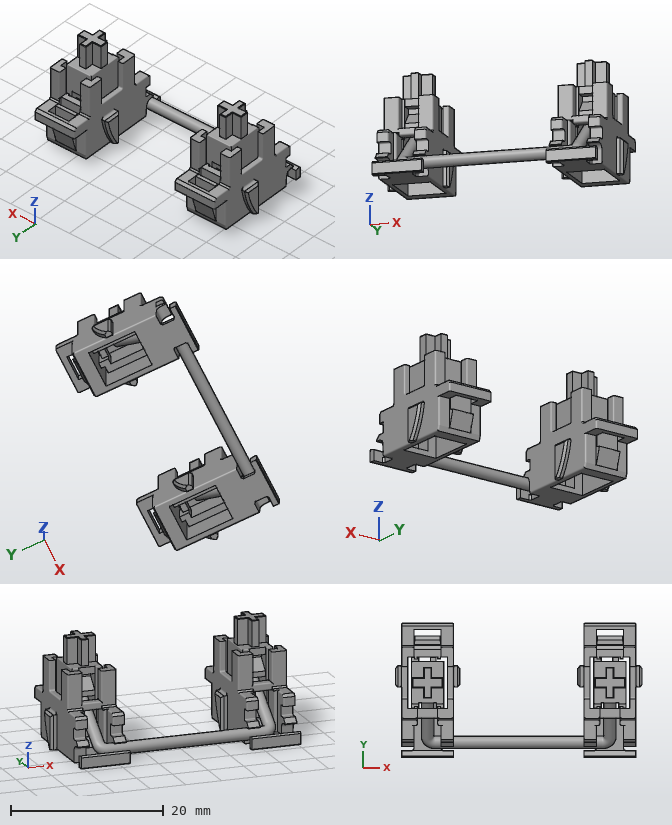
import cadquery as cq
import math


OVERALL_LENGTH = 32.3
WING_SPAN = 8.43
STEM_PITCH = OVERALL_LENGTH - WING_SPAN
STEM_CENTRES = (-STEM_PITCH / 2, STEM_PITCH / 2)

BODY_WIDTH = 6.8
HALF_BODY = BODY_WIDTH / 2
EDGE_FILLET = 0.23
NECK_CHAMFER = 0.23
TOWER_TOP = 11.45
TOWER_HALF_DEPTH = 4.65
FLANGE_TOP = 6.45
FLANGE_BOTTOM = 4.8
FLANGE_TIP = 7.82
TIP_CHAMFER = 0.4
BODY_BACK = 5.45
BODY_FRONT = -6.85
HOOK_TOP = 3.25
HOOK_SLOPE_START = -7.75
HOOK_TIP = -8.35
HOOK_TIP_HEIGHT = 2.62
RECESS_FILLET = 0.15

WIRE_DIAMETER = 1.65
WIRE_RADIUS = WIRE_DIAMETER / 2
WIRE_Y = -7.82
WIRE_Z = 1.65
WIRE_TILT = 36.0
BEND_RADIUS = 1.0
WIRE_ARM = 10.35
WIRE_CLEARANCE = 0.03
WIRE_SEAT_RADIUS = WIRE_RADIUS + WIRE_CLEARANCE
ARM_COS = math.cos(math.radians(WIRE_TILT))
ARM_SIN = math.sin(math.radians(WIRE_TILT))
WIRE_PLANE = cq.Plane(
    origin=(0, WIRE_Y, WIRE_Z), xDir=(1, 0, 0), normal=(0, -ARM_SIN, ARM_COS)
)

CAVITY_HALF_WIDTH = 2.6
CAVITY_HALF_DEPTH = 3.35
SLOT_FLOOR = 7.25
SLOT_FILLET = 0.2
FRONT_SLOT_HALF = 1.32
SIDE_SLOT_HALF = 2.13
BACK_SLOT_HALF = 1.75
SIDE_SLOT_CORNER = 0.25
FLOOR_THICKNESS = 0.75
MOUTH_HALF = 1.75
MOUTH_BACK = -5.6
CROSSBAR_BOTTOM = 6.2

PLATE_BACK = -8.88
PLATE_FRONT = -9.8
PLATE_TOP = 1.78
PLATE_EDGE = 0.23
TONGUE_HALF = 1.78
TONGUE_FLARE = 0.23

LATCH_HALF = 1.68
LATCH_TOP = 6.55
LATCH_INNER_TOP = 5.0
LATCH_INNER_BASE = 4.85
LATCH_OUTER = 5.6
LATCH_BARB = 6.15
BARB_HEIGHT = 3.15
BARB_SLOPE = 0.13
BARB_BASE = 5.23
FLEX_GAP_FRONT = 4.33
FLEX_FILLET = 0.5
WINDOW_BACK = 6.95

WING_BACK = 2.23
WING_FRONT = -0.58
WING_TOP = 4.8
WING_CHAMFER = 0.32
WING_FILLET = 0.3
WING_MIDDLE = (1.52, 2.25)
WING_FOOT = 0.35

BUMP_CENTRE = 1.52
BUMP_WIDTH = 0.4
BUMP_REACH = 0.23

STEM_TOP = 11.55
STEM_BOTTOM = 3.25
STEM_HALF_WIDTH = 2.13
STEM_HALF_DEPTH = 2.8
STEM_FILLET = 0.13
LEG_TOP = 6.05
LEG_REACH = 3.33
GAP_HALF = 1.13
GAP_CEILING = 7.55
FACE_RECESS = 0.15
POCKET_TOP = 10.55
POCKET_SLOPE_TOP = 9.82
POCKET_SLOPE_BOTTOM = 8.3
POCKET_DEPTH = POCKET_SLOPE_TOP - POCKET_SLOPE_BOTTOM
FOOT_FRONT = 1.95
FOOT_TOP = 6.05
FOOT_BOTTOM = 4.4
RIB_INNER = 0.35
CROSS_TOP = 15.2
CROSS_SPAN = 4.0
CROSS_RIB_X = 1.03
CROSS_RIB_Y = 1.32
CROSS_CHAMFER = 0.1

CUT_MARGIN = 0.32
NEAR = 0.03


def block(x_range, y_range, z_range):
    """Box given by its limits along each axis."""
    size = [high - low for low, high in (x_range, y_range, z_range)]
    corner = (x_range[0], y_range[0], z_range[0])
    return cq.Workplane("XY").box(*size, centered=False).translate(corner)


def extrude_across(profile, half_width):
    """Extrude a closed y-z profile symmetrically to both sides of x = 0."""
    return profile.extrude(half_width, both=True)


def edges_inside(x_range, y_range, z_range):
    """Selector for the edges whose centres lie between the given limits."""
    low, high = zip(x_range, y_range, z_range)
    return cq.selectors.BoxSelector(low, high)


def side_outline():
    """Side profile of the housing, with the hook that snaps over the wire."""
    shoulder = TOWER_HALF_DEPTH + NECK_CHAMFER
    neck = FLANGE_TOP + NECK_CHAMFER
    seat_top = WIRE_Z + WIRE_SEAT_RADIUS
    seat_mid = WIRE_SEAT_RADIUS * math.sqrt(0.5)
    return (
        cq.Workplane("YZ")
        .moveTo(-TOWER_HALF_DEPTH, TOWER_TOP)
        .lineTo(TOWER_HALF_DEPTH, TOWER_TOP)
        .lineTo(TOWER_HALF_DEPTH, neck)
        .lineTo(shoulder, FLANGE_TOP)
        .lineTo(FLANGE_TIP - TIP_CHAMFER, FLANGE_TOP)
        .lineTo(FLANGE_TIP, FLANGE_TOP - TIP_CHAMFER)
        .lineTo(FLANGE_TIP, FLANGE_BOTTOM)
        .lineTo(BODY_BACK, FLANGE_BOTTOM)
        .lineTo(BODY_BACK, FLOOR_THICKNESS)
        .lineTo(BARB_BASE, 0)
        .lineTo(BODY_FRONT, 0)
        .lineTo(WIRE_Y + WIRE_SEAT_RADIUS, WIRE_Z)
        .threePointArc((WIRE_Y + seat_mid, WIRE_Z + seat_mid), (WIRE_Y, seat_top))
        .lineTo(HOOK_TIP, seat_top)
        .lineTo(HOOK_TIP, HOOK_TIP_HEIGHT)
        .lineTo(HOOK_SLOPE_START, HOOK_TOP)
        .lineTo(BODY_FRONT, HOOK_TOP)
        .lineTo(BODY_FRONT, FLANGE_BOTTOM)
        .lineTo(-FLANGE_TIP, FLANGE_BOTTOM)
        .lineTo(-FLANGE_TIP, FLANGE_TOP - TIP_CHAMFER)
        .lineTo(-FLANGE_TIP + TIP_CHAMFER, FLANGE_TOP)
        .lineTo(-shoulder, FLANGE_TOP)
        .lineTo(-TOWER_HALF_DEPTH, neck)
        .close()
    )


def housing_shell():
    """Outer body with rounded side edges along the tower, flange, back and base."""
    shell = extrude_across(side_outline(), HALF_BODY)
    below_tower_top = TOWER_TOP - EDGE_FILLET
    above_flange_bottom = FLANGE_BOTTOM + EDGE_FILLET
    below_flange_bottom = FLANGE_BOTTOM - EDGE_FILLET
    tower_and_flange = ((-FLANGE_TIP - NEAR, FLANGE_TIP + NEAR), (above_flange_bottom, below_tower_top))
    base_and_back = ((-CAVITY_HALF_DEPTH, FLANGE_TIP), (-NEAR, below_flange_bottom))
    recess_y = (BODY_FRONT - NEAR, BODY_FRONT + NEAR)
    recess_corners = edges_inside((-NEAR, NEAR), recess_y, (HOOK_TOP - NEAR, FLANGE_BOTTOM + NEAR))
    shell = shell.edges(recess_corners).fillet(RECESS_FILLET)
    for side in (-1, 1):
        x_range = sorted((side * (HALF_BODY - NEAR), side * (HALF_BODY + NEAR)))
        for y_range, z_range in (tower_and_flange, base_and_back):
            shell = shell.edges(edges_inside(x_range, y_range, z_range)).fillet(EDGE_FILLET)
    return shell


def cut_stem_cavity(housing):
    """Open the rectangular well for the stem from top to bottom."""
    across = (-CAVITY_HALF_WIDTH, CAVITY_HALF_WIDTH)
    along = (-CAVITY_HALF_DEPTH, CAVITY_HALF_DEPTH)
    return housing.cut(block(across, along, (-CUT_MARGIN, TOWER_TOP + CUT_MARGIN)))


def cut_tower_slots(housing):
    """Cut the front, side and back slots into the tower and round their outer rims."""
    depth = (0, TOWER_HALF_DEPTH + CUT_MARGIN)
    height = (SLOT_FLOOR, TOWER_TOP + CUT_MARGIN)
    rim_height = (SLOT_FLOOR - NEAR, TOWER_TOP - NEAR)
    reach = HALF_BODY + CUT_MARGIN

    side_slot = (
        block((-reach, reach), (-SIDE_SLOT_HALF, SIDE_SLOT_HALF), height)
        .edges("|X and <Z")
        .fillet(SIDE_SLOT_CORNER)
    )
    housing = housing.cut(side_slot)
    for direction, half in ((-1, FRONT_SLOT_HALF), (1, BACK_SLOT_HALF)):
        y_range = sorted(direction * y for y in depth)
        housing = housing.cut(block((-half, half), y_range, height))

    for side in (-1, 1):
        x_range = (side * HALF_BODY - NEAR, side * HALF_BODY + NEAR)
        y_range = (-SIDE_SLOT_HALF - NEAR, SIDE_SLOT_HALF + NEAR)
        housing = housing.edges(edges_inside(x_range, y_range, rim_height)).fillet(SLOT_FILLET)
    for direction, half in ((-1, FRONT_SLOT_HALF), (1, BACK_SLOT_HALF)):
        face = direction * TOWER_HALF_DEPTH
        rim = edges_inside((-half - NEAR, half + NEAR), (face - NEAR, face + NEAR), rim_height)
        housing = housing.edges(rim).fillet(SLOT_FILLET)
    return housing


def cut_wire_channel(housing):
    """Open the front of the body for the wire arm, between the two hook arms."""
    above = FLANGE_TOP + CUT_MARGIN
    mouth = block((-MOUTH_HALF, MOUTH_HALF), (PLATE_FRONT, MOUTH_BACK), (FLOOR_THICKNESS, above))
    throat_width = (-FRONT_SLOT_HALF, FRONT_SLOT_HALF)
    throat = block(throat_width, (MOUTH_BACK, -TOWER_HALF_DEPTH), (FLOOR_THICKNESS, above))
    tunnel = block(throat_width, (-TOWER_HALF_DEPTH, 0), (FLOOR_THICKNESS, CROSSBAR_BOTTOM))
    housing = housing.cut(mouth).cut(throat).cut(tunnel)

    for side in (-1, 1):
        x_range = (side * MOUTH_HALF - NEAR, side * MOUTH_HALF + NEAR)
        y_range = (-FLANGE_TIP - NEAR, MOUTH_BACK - NEAR)
        rim = edges_inside(x_range, y_range, (FLANGE_BOTTOM + NEAR, above))
        housing = housing.edges(rim).fillet(EDGE_FILLET)
        x_range = (side * FRONT_SLOT_HALF - NEAR, side * FRONT_SLOT_HALF + NEAR)
        y_range = (MOUTH_BACK - NEAR, -TOWER_HALF_DEPTH - NEAR)
        rim = edges_inside(x_range, y_range, (FLOOR_THICKNESS + NEAR, FLANGE_TOP + NEAR))
        housing = housing.edges(rim).fillet(EDGE_FILLET)
    face_y = (-TOWER_HALF_DEPTH - NEAR, -TOWER_HALF_DEPTH + NEAR)
    crossbar_edge = edges_inside((-NEAR, NEAR), face_y, (CROSSBAR_BOTTOM - NEAR, CROSSBAR_BOTTOM + NEAR))
    return housing.edges(crossbar_edge).fillet(EDGE_FILLET)


def front_lip():
    """Tongue below the wire, ending in an upright plate across the full width."""
    flared = TONGUE_HALF + TONGUE_FLARE
    tongue = (
        cq.Workplane("XY")
        .moveTo(-flared, BODY_FRONT)
        .lineTo(-TONGUE_HALF, BODY_FRONT - TONGUE_FLARE)
        .lineTo(-TONGUE_HALF, PLATE_BACK + TONGUE_FLARE)
        .lineTo(-flared, PLATE_BACK)
        .lineTo(flared, PLATE_BACK)
        .lineTo(TONGUE_HALF, PLATE_BACK + TONGUE_FLARE)
        .lineTo(TONGUE_HALF, BODY_FRONT - TONGUE_FLARE)
        .lineTo(flared, BODY_FRONT)
        .close()
        .extrude(FLOOR_THICKNESS)
    )
    crest = PLATE_FRONT + PLATE_EDGE
    plate_profile = (
        cq.Workplane("YZ")
        .moveTo(PLATE_BACK, 0)
        .lineTo(PLATE_BACK, PLATE_TOP - PLATE_EDGE)
        .lineTo(crest, PLATE_TOP)
        .lineTo(PLATE_FRONT, PLATE_TOP - PLATE_EDGE)
        .lineTo(PLATE_FRONT, PLATE_EDGE / 2)
        .lineTo(PLATE_FRONT + PLATE_EDGE / 2, 0)
        .close()
    )
    return tongue.union(extrude_across(plate_profile, HALF_BODY))


def cut_latch_window(housing):
    """Clear the flange behind the tower so that the latch can flex."""
    width = (-BACK_SLOT_HALF, BACK_SLOT_HALF)
    along = (FLEX_GAP_FRONT, WINDOW_BACK)
    window = block(width, along, (FLOOR_THICKNESS, SLOT_FLOOR + CUT_MARGIN))
    return housing.cut(window.edges("|X and <Y and <Z").fillet(FLEX_FILLET))


def latch():
    """Springy tongue at the back, with a barb that slants down to the base."""
    profile = (
        cq.Workplane("YZ")
        .moveTo(LATCH_INNER_BASE, 0)
        .lineTo(LATCH_INNER_TOP, LATCH_TOP)
        .lineTo(LATCH_OUTER, LATCH_TOP)
        .lineTo(LATCH_OUTER, BARB_HEIGHT + BARB_SLOPE)
        .lineTo(LATCH_BARB, BARB_HEIGHT)
        .lineTo(BARB_BASE, 0)
        .close()
    )
    return extrude_across(profile, LATCH_HALF)


def side_wing():
    """Rib on the +X side of the housing, tapering to the base along a curved back edge."""
    wing = (
        cq.Workplane("YZ", origin=(HALF_BODY, 0, 0))
        .moveTo(WING_FRONT, 0)
        .lineTo(WING_FRONT, WING_TOP)
        .lineTo(WING_BACK, WING_TOP)
        .threePointArc(WING_MIDDLE, (WING_FOOT, 0))
        .close()
        .extrude(WING_SPAN / 2 - HALF_BODY)
        .faces(">X")
        .edges("not <Z")
        .chamfer(WING_CHAMFER)
    )
    root_fillet = (
        cq.Workplane("XZ", origin=(0, WING_BACK, 0))
        .moveTo(HALF_BODY, WING_TOP)
        .lineTo(HALF_BODY + WING_FILLET, WING_TOP)
        .radiusArc((HALF_BODY, WING_TOP + WING_FILLET), WING_FILLET)
        .close()
        .extrude(WING_BACK - WING_FRONT)
    )
    fillet_taper = (
        cq.Workplane("YZ")
        .moveTo(WING_FRONT, WING_TOP)
        .lineTo(WING_BACK, WING_TOP)
        .lineTo(WING_BACK - WING_FILLET, WING_TOP + WING_FILLET)
        .lineTo(WING_FRONT + WING_FILLET, WING_TOP + WING_FILLET)
        .close()
        .extrude(WING_SPAN / 2)
    )
    return wing.union(root_fillet.intersect(fillet_taper))


def retaining_bumps():
    """Small bumps on the cavity walls that keep the stem legs from rising out."""
    bumps = []
    z_range = (LEG_TOP, SLOT_FLOOR)
    inner = CAVITY_HALF_DEPTH - BUMP_REACH
    for side in (-1, 1):
        centre = side * BUMP_CENTRE
        x_range = (centre - BUMP_WIDTH / 2, centre + BUMP_WIDTH / 2)
        for y_range in ((inner, CAVITY_HALF_DEPTH), (-CAVITY_HALF_DEPTH, -inner)):
            bumps.append(block(x_range, y_range, z_range))
    return bumps


def make_housing():
    """Complete housing: shell, openings, front lip, latch, wings and bumps."""
    housing = cut_stem_cavity(housing_shell())
    housing = cut_tower_slots(housing)
    housing = cut_wire_channel(housing)
    housing = cut_latch_window(housing)
    wing = side_wing()
    additions = [front_lip(), latch(), wing, wing.mirror("YZ"), *retaining_bumps()]
    for addition in additions:
        housing = housing.union(addition)
    return housing


def stem_cross():
    """Cross-shaped post that carries the keycap, sunk slightly into the stem block."""
    base = cq.Workplane("XY").workplane(offset=STEM_TOP - CROSS_CHAMFER)
    height = CROSS_TOP - STEM_TOP + CROSS_CHAMFER
    along_x = base.rect(CROSS_SPAN, CROSS_RIB_Y).extrude(height)
    along_y = base.rect(CROSS_RIB_X, CROSS_SPAN).extrude(height)
    return along_x.union(along_y).faces(">Z").edges().chamfer(CROSS_CHAMFER)


def stem_legs():
    """Guide legs that stick out past the stem block: two in front, one at the back."""
    height = (STEM_BOTTOM, LEG_TOP)
    left = (-STEM_HALF_WIDTH, -GAP_HALF)
    right = (GAP_HALF, STEM_HALF_WIDTH)
    front = (-LEG_REACH, 0)
    back = (0, LEG_REACH)
    return block(left, front, height).union(block(right, front, height)).union(block(left, back, height))


def stem_hollow():
    """Space between the legs for the wire, with a sloped pocket above it in the front."""
    width = (-GAP_HALF, GAP_HALF)
    along = (-LEG_REACH - CUT_MARGIN, LEG_REACH + CUT_MARGIN)
    gap = block(width, along, (STEM_BOTTOM - CUT_MARGIN, GAP_CEILING))
    front = -STEM_HALF_DEPTH + FACE_RECESS
    recess = block(width, (-LEG_REACH - CUT_MARGIN, front), (STEM_BOTTOM, CROSS_TOP))
    pocket_back = front + POCKET_DEPTH
    pocket_profile = (
        cq.Workplane("YZ")
        .moveTo(front, POCKET_SLOPE_BOTTOM)
        .lineTo(pocket_back, POCKET_SLOPE_TOP)
        .lineTo(pocket_back, POCKET_TOP)
        .lineTo(front, POCKET_TOP)
        .close()
    )
    return gap.union(recess).union(extrude_across(pocket_profile, GAP_HALF))


def arm_section(x, distance):
    """Plane square to a wire arm at x, at a distance along the arm from the straight span."""
    start = WIRE_PLANE.toWorldCoords((x, distance))
    return cq.Plane(origin=start, xDir=(1, 0, 0), normal=(0, ARM_COS, ARM_SIN))


def wire_bore():
    """Blind bore that takes the end of a wire arm."""
    return cq.Workplane(arm_section(0, 0)).circle(WIRE_SEAT_RADIUS).extrude(WIRE_ARM)


def stem_foot():
    """Bar that joins the legs low at the back, with a short rib on it."""
    bar = block((-GAP_HALF, GAP_HALF), (FOOT_FRONT, STEM_HALF_DEPTH), (FOOT_BOTTOM, FOOT_TOP))
    rib = block((RIB_INNER, GAP_HALF), (FOOT_FRONT, LEG_REACH), (STEM_BOTTOM, FOOT_TOP))
    return bar.union(rib)


def make_stem():
    """Complete stem: block with legs, hollowed for the wire, and the keycap cross."""
    width = (-STEM_HALF_WIDTH, STEM_HALF_WIDTH)
    along = (-STEM_HALF_DEPTH, STEM_HALF_DEPTH)
    stem = block(width, along, (STEM_BOTTOM, STEM_TOP)).faces(">Z").edges().fillet(STEM_FILLET)
    stem = stem.union(stem_legs()).cut(stem_hollow()).cut(wire_bore())
    return stem.union(stem_foot()).union(stem_cross())


def make_wire():
    """Round wire with a straight span and two parallel arms rising into the stems."""
    half_span = STEM_PITCH / 2
    bend_point = BEND_RADIUS * (1 - math.sqrt(0.5))
    path = (
        cq.Workplane(WIRE_PLANE)
        .moveTo(-half_span, WIRE_ARM)
        .lineTo(-half_span, BEND_RADIUS)
        .threePointArc((-half_span + bend_point, bend_point), (-half_span + BEND_RADIUS, 0))
        .lineTo(half_span - BEND_RADIUS, 0)
        .threePointArc((half_span - bend_point, bend_point), (half_span, BEND_RADIUS))
        .lineTo(half_span, WIRE_ARM)
    )
    return cq.Workplane(arm_section(-half_span, WIRE_ARM)).circle(WIRE_RADIUS).sweep(path)


housing = make_housing()
stem = make_stem()
wire = make_wire()

bodies = [wire.val()]
for centre in STEM_CENTRES:
    bodies.append(housing.translate((centre, 0, 0)).val())
    bodies.append(stem.translate((centre, 0, 0)).val())

result = cq.Compound.makeCompound(bodies)